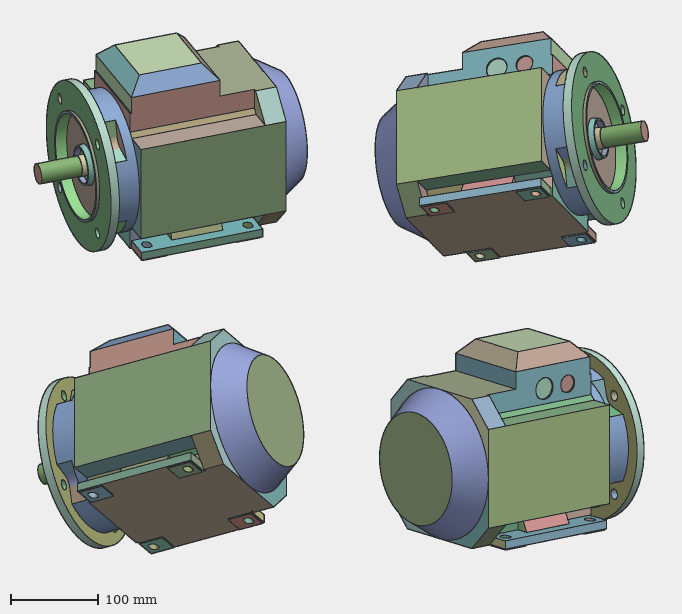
import cadquery as cq
import math


SPIGOT_FACE_Y = 46.5
SHOULDER_Y = 50.0
FLANGE_FRONT_Y = 50.3
SEAL_FRONT_Y = 53.3
RECESS_FLOOR_Y = 60.5
FLANGE_BACK_Y = 60.7
POCKET_BACK_Y = 80.0
BODY_FRONT_Y = 92.0
BAND_FRONT_Y = 245.5
BODY_BACK_Y = 271.3
COWL_BACK_Y = 306.5

SHAFT_DIA = 24.0
SHOULDER_DIA = 25.0
SEAL_BASE_DIA = 48.7
SEAL_TIP_DIA = 46.0
SEAL_INNER_DIA = 42.0
SPIGOT_DIA = 130.0
RECESS_DIA = 124.0
FLANGE_DIA = 200.0
SHIELD_DIA = 168.5
BOLT_CIRCLE_DIA = 165.0
BOLT_HOLE_DIA = 12.0
POCKET_VERTEX = 47.0
POCKET_SPLAY_DEG = 15
POCKET_FILLET = 14.5

BODY_HALF = 88.5
SIDE_HALF = 58.5
CORNER_WALL_X = 55.0
GROOVE_SLOPE = 5.5
COWL_BACK_DIA = 132.5

BOX_FRONT_Y = 93.5
BOX_SIZE = 2 * CORNER_WALL_X
BOX_SHOULDER_Z = 109.0
BOX_TOP_Z = 127.0
BOX_TAPER = 16.5
KNOCKOUT_Z = 82.5
KNOCKOUT_DEPTH = 2.0
KNOCKOUTS = [(161.0, 25.5), (126.5, 20.5)]

FOOT_OUTER_X = 85.5
FOOT_TOP_Z = -78.5
FOOT_FRONT_Y = 93.8
FOOT_LENGTH = 150.0
FOOT_SLOT_X = 70.5
FOOT_SLOT_PITCH = 125.0
FOOT_SLOT_WIDTH = 10.0
FOOT_SLOT_LENGTH = 14.0
PAD_INNER_X = 56.7
PAD_OUTER_X = 84.0
PAD_LENGTH = 30.0
PAD_PITCH = 116.5
PAD_HEIGHT = 1.5
RIB_LENGTH = 62.8
RIB_FOOT_X = 70.8

FOOT_MID_Y = FOOT_FRONT_Y + FOOT_LENGTH / 2
SIDES = (-1, 1)


def section_at(y):
    """Sketch plane across the shaft axis: local x is X, local y is Z, extrusions run toward -Y."""
    return cq.Workplane("XZ", origin=(0, y, 0))


def cylinder(dia, y_front, y_back):
    """Solid cylinder on the shaft axis."""
    return section_at(y_back).circle(dia / 2).extrude(y_back - y_front)


def cone(front_dia, y_front, back_dia, y_back):
    """Truncated cone on the shaft axis."""
    return (
        section_at(y_back)
        .circle(back_dia / 2)
        .workplane(offset=y_back - y_front)
        .circle(front_dia / 2)
        .loft(ruled=True)
    )


def block(x_range, y_range, z_range):
    """Axis-aligned block from its end coordinates; either end may come first."""
    lows = [min(r) for r in (x_range, y_range, z_range)]
    sizes = [abs(r[1] - r[0]) for r in (x_range, y_range, z_range)]
    return cq.Workplane("XY").box(*sizes, centered=False).translate(tuple(lows))


def make_body():
    """Octagonal rear band, and a longer front stretch with its corners cut back in steps."""
    band = (
        section_at(BODY_BACK_Y)
        .rect(2 * BODY_HALF, 2 * BODY_HALF)
        .extrude(BODY_BACK_Y - BAND_FRONT_Y)
        .edges("|Y")
        .chamfer(BODY_HALF - SIDE_HALF)
    )
    quarter = [
        (BODY_HALF, SIDE_HALF),
        (CORNER_WALL_X + GROOVE_SLOPE, SIDE_HALF),
        (CORNER_WALL_X, SIDE_HALF + GROOVE_SLOPE),
        (CORNER_WALL_X, BODY_HALF),
    ]
    upper = quarter + [(-x, z) for x, z in reversed(quarter)]
    lower = [(-x, -z) for x, z in upper]
    front = section_at(BAND_FRONT_Y).polyline(upper + lower).close().extrude(BAND_FRONT_Y - BODY_FRONT_Y)
    return band.union(front)


def make_terminal_box():
    """Square box with a tapered lid, its -X wall carrying two shallow round knockouts."""
    mid_y = BOX_FRONT_Y + BOX_SIZE / 2
    top_size = BOX_SIZE - 2 * BOX_TAPER
    base = cq.Workplane("XY", origin=(0, mid_y, 0)).rect(BOX_SIZE, BOX_SIZE).extrude(BOX_SHOULDER_Z)
    lid = (
        cq.Workplane("XY", origin=(0, mid_y, BOX_SHOULDER_Z))
        .rect(BOX_SIZE, BOX_SIZE)
        .workplane(offset=BOX_TOP_Z - BOX_SHOULDER_Z)
        .rect(top_size, top_size)
        .loft(ruled=True)
    )
    return base.union(lid)


def make_knockouts():
    """Cutters for the round recesses in the -X wall."""
    cutters = cq.Workplane("YZ")
    for y, dia in KNOCKOUTS:
        wall = cq.Workplane("YZ", origin=(-CORNER_WALL_X, y, KNOCKOUT_Z))
        cutters = cutters.add(wall.circle(dia / 2).extrude(KNOCKOUT_DEPTH))
    return cutters.combine()


def make_pocket(x_side, z_side):
    """Cutter for a bolt pocket in one quadrant: two splayed walls meeting in a rounded inner corner."""
    outer = SHIELD_DIA
    wall_end = POCKET_VERTEX - (outer - POCKET_VERTEX) * math.tan(math.radians(POCKET_SPLAY_DEG))
    corners = [(POCKET_VERTEX, POCKET_VERTEX), (wall_end, outer), (outer, outer), (outer, wall_end)]
    return (
        section_at(POCKET_BACK_Y)
        .polyline([(x_side * x, z_side * z) for x, z in corners])
        .close()
        .extrude(POCKET_BACK_Y - FLANGE_BACK_Y)
        .edges("|Y")
        .edges(cq.NearestToPointSelector((x_side * POCKET_VERTEX, FLANGE_BACK_Y, z_side * POCKET_VERTEX)))
        .fillet(POCKET_FILLET)
    )


def make_drive_end():
    """End shield, flange and spigot, recessed around the seal ring and the stepped shaft."""
    shield = cylinder(SHIELD_DIA, FLANGE_BACK_Y, BODY_FRONT_Y)
    for x_side in SIDES:
        for z_side in SIDES:
            shield = shield.cut(make_pocket(x_side, z_side))

    hole_offset = BOLT_CIRCLE_DIA / 2 / math.sqrt(2)
    flange = cylinder(FLANGE_DIA, FLANGE_FRONT_Y, FLANGE_BACK_Y)
    bolt_holes = (
        section_at(FLANGE_BACK_Y)
        .rect(2 * hole_offset, 2 * hole_offset, forConstruction=True)
        .vertices()
        .circle(BOLT_HOLE_DIA / 2)
        .extrude(FLANGE_BACK_Y - FLANGE_FRONT_Y)
    )
    flange = flange.cut(bolt_holes).union(cylinder(SPIGOT_DIA, SPIGOT_FACE_Y, FLANGE_FRONT_Y))
    flange = flange.cut(cylinder(RECESS_DIA, SPIGOT_FACE_Y, RECESS_FLOOR_Y))

    seal = cone(SEAL_TIP_DIA, SEAL_FRONT_Y, SEAL_BASE_DIA, RECESS_FLOOR_Y)
    seal = seal.cut(cylinder(SEAL_INNER_DIA, SEAL_FRONT_Y, RECESS_FLOOR_Y))
    shaft = cylinder(SHAFT_DIA, 0, BODY_FRONT_Y)
    shoulder = cylinder(SHOULDER_DIA, SHOULDER_Y, BODY_FRONT_Y)
    return shield.union(flange).union(seal).union(shoulder).union(shaft)


def make_foot(side):
    """Foot rail with two slotted bolt holes, two thin pads below it and a sloping rib up to the body."""
    foot = block(
        (side * CORNER_WALL_X, side * FOOT_OUTER_X),
        (FOOT_FRONT_Y, FOOT_FRONT_Y + FOOT_LENGTH),
        (-BODY_HALF, FOOT_TOP_Z),
    )
    for end in SIDES:
        pad_mid_y = FOOT_MID_Y + end * PAD_PITCH / 2
        pad = block(
            (side * PAD_INNER_X, side * PAD_OUTER_X),
            (pad_mid_y - PAD_LENGTH / 2, pad_mid_y + PAD_LENGTH / 2),
            (-BODY_HALF - PAD_HEIGHT, -BODY_HALF),
        )
        foot = foot.union(pad)
    rib_profile = [
        (side * CORNER_WALL_X, FOOT_TOP_Z),
        (side * RIB_FOOT_X, FOOT_TOP_Z),
        (side * (CORNER_WALL_X + GROOVE_SLOPE), -SIDE_HALF),
        (side * CORNER_WALL_X, -SIDE_HALF),
    ]
    rib = section_at(FOOT_MID_Y).polyline(rib_profile).close().extrude(RIB_LENGTH / 2, both=True)
    slots = (
        cq.Workplane("XY", origin=(side * FOOT_SLOT_X, FOOT_MID_Y, FOOT_TOP_Z))
        .rarray(3, FOOT_SLOT_PITCH, 1, 2)
        .slot2D(FOOT_SLOT_LENGTH, FOOT_SLOT_WIDTH)
        .extrude(-BODY_HALF - PAD_HEIGHT - FOOT_TOP_Z)
    )
    return foot.cut(slots).union(rib)


cowl = cone(2 * BODY_HALF, BODY_BACK_Y, COWL_BACK_DIA, COWL_BACK_Y)

result = make_body().union(cowl).union(make_terminal_box()).cut(make_knockouts())
result = result.union(make_drive_end())
for foot_side in SIDES:
    result = result.union(make_foot(foot_side))